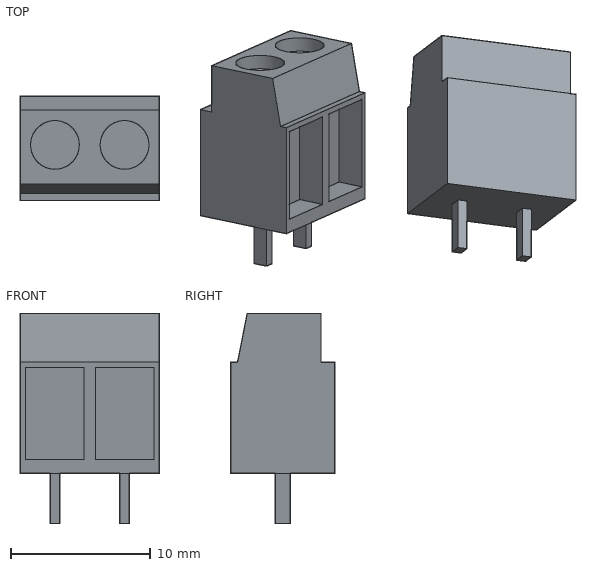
import cadquery as cq


pole_count = 2
pitch = 5.0

width = pole_count * pitch
depth = 7.5
body_height = 8.0
cap_height = 3.5
total_height = body_height + cap_height
front_y = -depth / 2
back_y = depth / 2

cap_back_setback = 1.0
cap_front_setback_bottom = 0.5
cap_front_setback_top = 1.19

opening_side_wall = 0.4
opening_top_wall = 0.4
opening_bottom_wall = 1.0
opening_depth = 2.0
opening_width = pitch - 2 * opening_side_wall
opening_height = body_height - opening_top_wall - opening_bottom_wall

screw_hole_diameter = 3.5
screw_hole_depth = 1.0
screw_hole_front_distance = 4.0
screw_hole_y = front_y + screw_hole_front_distance

pin_width = 0.7
pin_thickness = 1.1
pin_length = 3.6

pole_positions = [(i - (pole_count - 1) / 2) * pitch for i in range(pole_count)]


def make_housing():
    """Stepped side profile in the YZ plane, extruded across the full width."""
    profile = [
        (front_y, 0),
        (back_y, 0),
        (back_y, body_height),
        (back_y - cap_back_setback, body_height),
        (back_y - cap_back_setback, total_height),
        (front_y + cap_front_setback_top, total_height),
        (front_y + cap_front_setback_bottom, body_height),
        (front_y, body_height),
    ]
    return cq.Workplane("YZ").polyline(profile).close().extrude(width / 2, both=True)


def make_wire_opening(x):
    """Rectangular pocket cutter entering from the front face."""
    return (
        cq.Workplane("XY")
        .box(opening_width, opening_depth, opening_height, centered=(True, False, False))
        .translate((x, front_y, opening_bottom_wall))
    )


def make_screw_hole(x):
    """Blind round cutter entering from the top of the cap."""
    return (
        cq.Workplane("XY")
        .circle(screw_hole_diameter / 2)
        .extrude(-screw_hole_depth)
        .translate((x, screw_hole_y, total_height))
    )


def make_pin(x):
    """Rectangular solder pin hanging from the underside, midway between front and back."""
    return cq.Workplane("XY").rect(pin_width, pin_thickness).extrude(-pin_length).translate((x, 0, 0))


result = make_housing()
for pole_x in pole_positions:
    result = result.cut(make_wire_opening(pole_x))
    result = result.cut(make_screw_hole(pole_x))
    result = result.union(make_pin(pole_x))